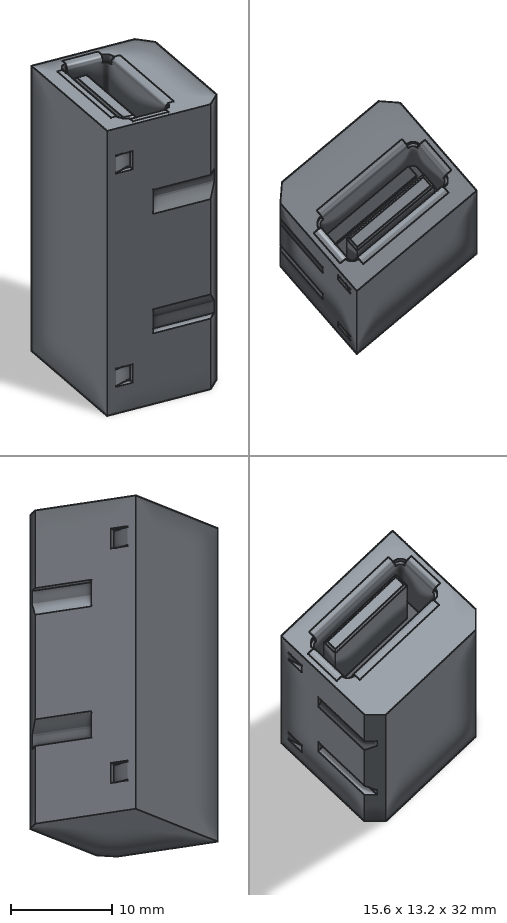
import cadquery as cq
import math

width = 15.6
depth = 13.2
height = 32.0
edge_chamfer = 1.5

socket_y = 5.2
sheet = 0.3
inner_width = 12.5
inner_depth = 5.12
inner_radius = 0.6
outer_width = inner_width + 2 * sheet
outer_depth = inner_depth + 2 * sheet
outer_radius = inner_radius + sheet
flare_radius = 0.6
lip_reach = 1.0
long_lip = 11.1
short_lip = 4.03
mouth_depth = 0.8
mouth_z = height - mouth_depth
shell_bottom = 19.2

base_top = 21.12
step_height = 0.95
step_depth = 1.25
tongue_width = 10.05
tongue_depth = 1.6
tongue_front = 3.23
tongue_top = 31.2
tongue_tip_bevel = 0.24

groove_depth = 0.9
groove_front = 5.2
groove_end_inset = 7.95
groove_floor_corner = 1.38
groove_length = 2.72
groove_corner_radius = 0.4

window_depth = 0.58
window_front = 1.0
window_width = 1.92
window_height = 2.05
window_inset = 4.03
ramp_gap = 0.112

half_width = width / 2


def rounded_prism(size_x, size_y, radius, bottom, top):
    """Upright prism around the socket axis with rounded vertical edges."""
    prism = cq.Workplane("XY").box(size_x, size_y, top - bottom, centered=(True, True, False))
    return prism.edges("|Z").fillet(radius).translate((0, socket_y, bottom))


def lip_blank(length):
    """Lip and the mouth space above it as one block, with the underside of the bend along its bottom."""
    under_radius = flare_radius - sheet
    diagonal = math.sqrt(0.5)
    return (
        cq.Workplane("XZ")
        .lineTo(lip_reach, 0)
        .lineTo(lip_reach, -sheet)
        .lineTo(flare_radius, -sheet)
        .threePointArc(
            (flare_radius - under_radius * diagonal, -flare_radius + under_radius * diagonal),
            (sheet, -flare_radius),
        )
        .lineTo(sheet, -mouth_depth)
        .lineTo(0, -mouth_depth)
        .close()
        .extrude(length / 2, both=True)
    )


def flared_lip(length):
    """Sheet strip that bends from the tube wall outward until it is flush with the housing top."""
    bend_roll = cq.Workplane("XZ").circle(flare_radius).extrude(length / 2, both=True)
    throat = (
        cq.Workplane("XY")
        .box(flare_radius, length, flare_radius, centered=(False, True, False))
        .translate((0, 0, -flare_radius))
        .cut(bend_roll.translate((flare_radius, 0, -flare_radius)))
    )
    return lip_blank(length).cut(throat)


def place_around_mouth(make_strip):
    """Short strips on the two ends and long strips on the two long walls of the mouth."""
    placed = []
    for angle in (0, 180):
        short_strip = make_strip(short_lip).translate((inner_width / 2, 0, height))
        placed.append(short_strip.rotate((0, 0, 0), (0, 0, 1), angle).translate((0, socket_y, 0)))
        long_strip = make_strip(long_lip).translate((inner_depth / 2, 0, height))
        placed.append(long_strip.rotate((0, 0, 0), (0, 0, 1), angle + 90).translate((0, socket_y, 0)))
    return placed


def make_shell():
    shell = rounded_prism(outer_width, outer_depth, outer_radius, shell_bottom, mouth_z)
    shell = shell.cut(rounded_prism(inner_width, inner_depth, inner_radius, shell_bottom, mouth_z))
    for lip in place_around_mouth(flared_lip):
        shell = shell.union(lip)
    return shell


def make_insulator():
    base = rounded_prism(inner_width, inner_depth, inner_radius, shell_bottom, base_top)
    step_back = socket_y + inner_depth / 2
    step = cq.Workplane("XY").box(long_lip, step_depth, step_height, centered=(True, False, False))
    step = step.translate((0, step_back - step_depth, base_top))
    tongue = (
        cq.Workplane("XY")
        .box(tongue_width, tongue_depth, tongue_top - base_top, centered=(True, False, False))
        .faces(">Z")
        .chamfer(tongue_tip_bevel)
        .translate((0, tongue_front, base_top))
    )
    return base.union(step).union(tongue)


def upper_groove():
    """Cutter for the upper groove in the -X side, running out through the chamfered back edge."""
    end_z = height - groove_end_inset
    corner_z = end_z - groove_floor_corner
    ramp_z = end_z - groove_length
    floor_x = groove_depth - half_width
    groove = (
        cq.Workplane("XZ")
        .polyline([(-half_width, end_z), (floor_x, end_z), (floor_x, corner_z), (-half_width, ramp_z)])
        .close()
        .extrude(-depth)
    )
    corner = cq.selectors.NearestToPointSelector((floor_x, depth / 2, corner_z))
    return groove.edges(corner).fillet(groove_corner_radius).translate((0, groove_front, 0))


def latch_window(center_z):
    """Cutter for a latch window in the -X side, leaving the ramp standing inside it."""
    recess = (
        cq.Workplane("XY")
        .box(window_depth, window_width, window_height, centered=(False, False, True))
        .translate((-half_width, window_front, center_z))
    )
    ramp = (
        cq.Workplane("XY")
        .polyline([
            (-half_width, window_front),
            (window_depth - half_width, window_front),
            (window_depth - half_width, window_front + window_width - ramp_gap),
        ])
        .close()
        .extrude(window_height / 2 - ramp_gap, both=True)
        .translate((0, 0, center_z))
    )
    return recess.cut(ramp)


def make_housing():
    housing = (
        cq.Workplane("XY")
        .box(width, depth, height, centered=(True, False, False))
        .edges("|Z and >Y")
        .chamfer(edge_chamfer)
    )
    housing = housing.cut(rounded_prism(outer_width, outer_depth, outer_radius, shell_bottom, height))
    for lip_seat in place_around_mouth(lip_blank):
        housing = housing.cut(lip_seat)

    groove = upper_groove()
    lower_groove = groove.mirror("XY", (0, 0, height / 2))
    side_cuts = [groove, lower_groove, latch_window(window_inset), latch_window(height - window_inset)]
    for side_cut in side_cuts:
        housing = housing.cut(side_cut).cut(side_cut.mirror("YZ"))
    return housing


housing = make_housing()
shell = make_shell()
insulator = make_insulator()

result = cq.Compound.makeCompound([housing.val(), shell.val(), insulator.val()])